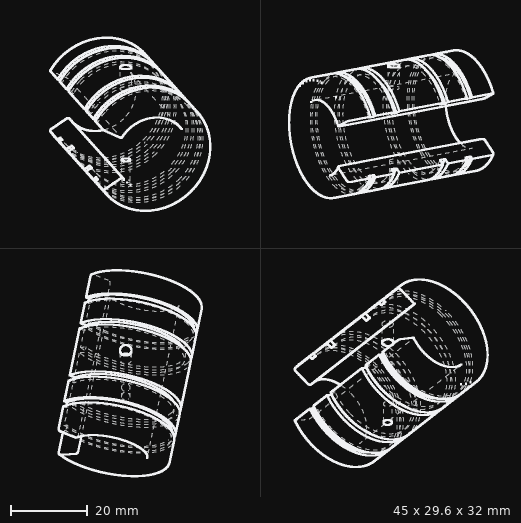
import cadquery as cq
import math

length = 45.0
outer_diameter = 32.0
bore_diameter = 20.0
outer_radius = outer_diameter / 2
edge_radius = 0.7

groove_width = 1.55
end_groove_offset = 14.85
end_groove_depth = 0.85
inner_groove_offset = 7.45
inner_groove_depth = 1.65

opening_half_angle = math.radians(30)
opening_apex_y = 1.0

hole_diameter = 2.95
lower_hole_diameter = 2.2


def cylinder_along_x(diameter, width, center_x=0):
    """Solid cylinder on the X axis, centred at center_x."""
    start = center_x - width / 2
    return cq.Workplane("YZ").workplane(offset=start).circle(diameter / 2).extrude(width)


def groove(center_x, depth):
    """Ring of material removed from the outer surface."""
    ring = cylinder_along_x(outer_diameter + 2 * depth, groove_width, center_x)
    return ring.cut(cylinder_along_x(outer_diameter - 2 * depth, groove_width, center_x))


sleeve = cylinder_along_x(outer_diameter, length).cut(cylinder_along_x(bore_diameter, length))
sleeve = sleeve.faces("<X or >X").edges().fillet(edge_radius)

for side in (-1, 1):
    sleeve = sleeve.cut(groove(side * end_groove_offset, end_groove_depth))
    sleeve = sleeve.cut(groove(side * inner_groove_offset, inner_groove_depth))

wedge_y = -outer_diameter
wedge_half_height = (opening_apex_y - wedge_y) * math.tan(opening_half_angle)
wedge = (
    cq.Workplane("YZ")
    .polyline([(opening_apex_y, 0), (wedge_y, wedge_half_height), (wedge_y, -wedge_half_height)])
    .close()
    .extrude(length / 2, both=True)
)
sleeve = sleeve.cut(wedge)

upper_hole = cq.Workplane("XY").circle(hole_diameter / 2).extrude(outer_radius)
lower_hole = cq.Workplane("XY").circle(lower_hole_diameter / 2).extrude(-outer_radius)

result = sleeve.cut(upper_hole).cut(lower_hole)